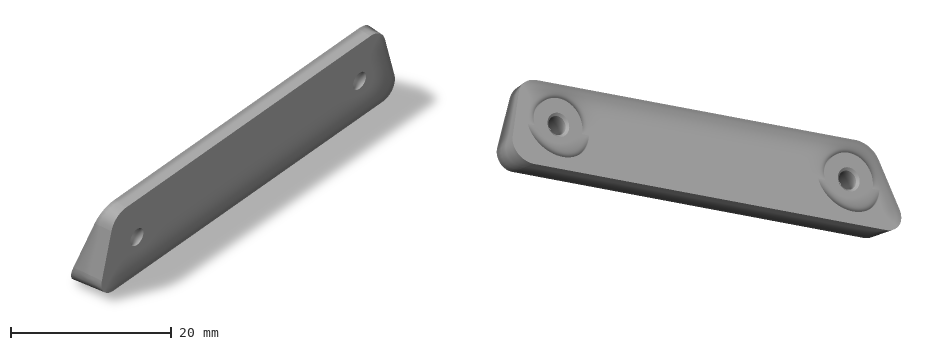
import cadquery as cq
import math

back_height = 11.7
lower_corner_radius = 2.25
upper_corner_radius = 2.85
lower_corner_y = 25.45
side_lean = 15.0

draft = 5.0
depth = 5.3
front_lean = 15.0

seat_y = 21.0
seat_z = 5.85
seat_depth = 3.75
boss_diameter = 6.95
pocket_diameter = 9.0
hole_diameter = 2.5
hole_chamfer = 0.35

bottom_z = -depth * math.tan(math.radians(draft))


def arc_point(centre_y, centre_z, radius, angle):
    return (
        centre_y + radius * math.cos(math.radians(angle)),
        centre_z + radius * math.sin(math.radians(angle)),
    )


def mirrored(point):
    return (-point[0], point[1])


def flared_body():
    """Back outline extruded towards -X with outward draft."""
    lower_z = lower_corner_radius
    upper_z = back_height - upper_corner_radius
    lean = math.radians(side_lean)
    upper_corner_y = (
        lower_corner_y
        - (upper_z - lower_z) * math.tan(lean)
        - (upper_corner_radius - lower_corner_radius) / math.cos(lean)
    )
    lower = [
        arc_point(lower_corner_y, lower_z, lower_corner_radius, angle)
        for angle in (-90, (side_lean - 90) / 2, side_lean)
    ]
    upper = [
        arc_point(upper_corner_y, upper_z, upper_corner_radius, angle)
        for angle in (side_lean, (side_lean + 90) / 2, 90)
    ]
    return (
        cq.Workplane("YZ")
        .moveTo(*lower[0])
        .threePointArc(lower[1], lower[2])
        .lineTo(*upper[0])
        .threePointArc(upper[1], upper[2])
        .lineTo(*mirrored(upper[2]))
        .threePointArc(mirrored(upper[1]), mirrored(upper[0]))
        .lineTo(*mirrored(lower[2]))
        .threePointArc(mirrored(lower[1]), mirrored(lower[0]))
        .close()
        .extrude(-depth, taper=-draft)
    )


def wedge_envelope():
    """Everything behind the sloping front face."""
    height = 2 * back_height
    reach = 2 * lower_corner_y
    top_x = -depth + height * math.tan(math.radians(front_lean))
    return (
        cq.Workplane("XZ")
        .polyline([
            (-depth, bottom_z),
            (top_x, bottom_z + height),
            (reach, bottom_z + height),
            (reach, bottom_z),
        ])
        .close()
        .extrude(reach, both=True)
    )


def seat_cylinder(y, diameter, start, length):
    """Cylinder on a seat axis, from distance start off the back face towards -X."""
    return (
        cq.Workplane("YZ", origin=(-start, y, seat_z))
        .circle(diameter / 2)
        .extrude(-length)
    )


def hole_countersink(y):
    """45 degree cone that breaks the rim of a hole at the seat face."""
    mouth_radius = hole_diameter / 2 + hole_chamfer
    rim_on_seat = cq.Vector(-seat_depth, y, seat_z)
    return cq.Workplane(
        cq.Solid.makeCone(mouth_radius, 0, mouth_radius, rim_on_seat, cq.Vector(1, 0, 0))
    )


result = flared_body().intersect(wedge_envelope())
for y in (-seat_y, seat_y):
    result = result.cut(seat_cylinder(y, pocket_diameter, seat_depth, depth))
    result = result.union(seat_cylinder(y, boss_diameter, 0, seat_depth))
    result = result.cut(seat_cylinder(y, hole_diameter, 0, depth))
    result = result.cut(hole_countersink(y))